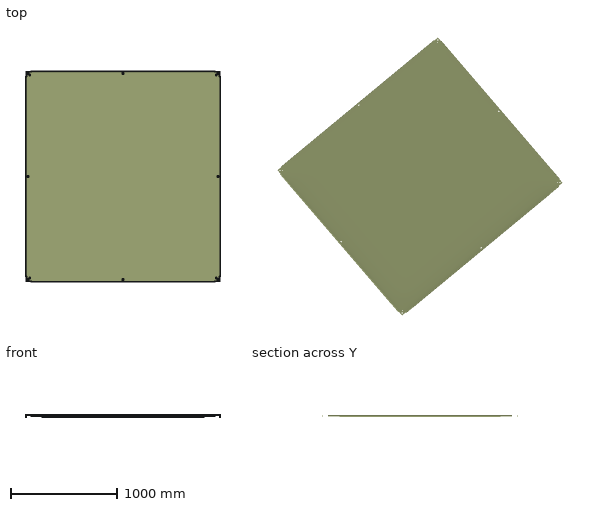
import cadquery as cq

length_x = 1827.0
length_y = 1980.0
height = 22.0
sheet = 3.0
bend_radius = 6.3

tab_inset = 5.3
relief_gap = 4.0

flange_gap = 51.0
step_gap = 156.0
end_depth = 14.0

mount_diameter = 12.7
mount_inset = 22.0
vent_diameter = 7.1
vent_inset = 38.0

half_x = length_x / 2
half_y = length_y / 2
signs = (-1, 1)


def slab(size_x, size_y):
    """Flat piece of the sheet, centred on the Z axis with its top face at z = 0."""
    return cq.Workplane("XY").rect(size_x, size_y).extrude(-sheet)


def flange(half_width, reach):
    """Bend and rim on the -Y side of a panel that is `half_width` wide each way from its middle."""
    inner_face = -reach + sheet
    bend_start = -reach + bend_radius
    rim = (
        cq.Workplane("YZ")
        .moveTo(bend_start, 0)
        .radiusArc((-reach, -bend_radius), -bend_radius)
        .lineTo(-reach, -height)
        .lineTo(inner_face, -height)
        .lineTo(inner_face, -bend_radius)
        .radiusArc((bend_start, -sheet), bend_radius - sheet)
        .close()
        .extrude(half_width - flange_gap, both=True)
    )
    step_length = step_gap - flange_gap
    step_centre = half_width - (flange_gap + step_gap) / 2
    steps = (
        cq.Workplane("XY", origin=(0, -reach, -height))
        .pushPoints([(i * step_centre, 0) for i in signs])
        .rect(step_length, 2 * bend_radius)
        .extrude(height - end_depth)
    )
    return rim.cut(steps)


def flat_sheet():
    """Flat middle of the panel with its four corner tabs."""
    flat = slab(length_x - 2 * bend_radius, length_y - 2 * bend_radius)
    tab_side = flange_gap - relief_gap - tab_inset
    centre_inset = tab_inset + tab_side / 2
    for i in signs:
        for j in signs:
            tab_centre = (i * (half_x - centre_inset), j * (half_y - centre_inset), 0)
            flat = flat.union(slab(tab_side, tab_side).translate(tab_centre))
    return flat


def corner_points(inset):
    """Four points set in from the corners by the same distance along X and Y."""
    return [(i * (half_x - inset), j * (half_y - inset)) for i in signs for j in signs]


def side_middle_points(inset):
    """Points set in from the middles of the four sides."""
    across = [(i * (half_x - inset), 0) for i in signs]
    along = [(0, j * (half_y - inset)) for j in signs]
    return across + along


def holes(points, diameter):
    """Cutters for round holes through the sheet."""
    return cq.Workplane("XY").pushPoints(points).circle(diameter / 2).extrude(-sheet)


result = flat_sheet()

end_flange = flange(half_x, half_y)
side_flange = flange(half_y, half_x)
for half_turn in (0, 180):
    result = result.union(end_flange.rotate((0, 0, 0), (0, 0, 1), half_turn))
    result = result.union(side_flange.rotate((0, 0, 0), (0, 0, 1), half_turn + 90))

result = result.cut(holes(corner_points(mount_inset) + side_middle_points(mount_inset), mount_diameter))
result = result.cut(holes(corner_points(vent_inset), vent_diameter))